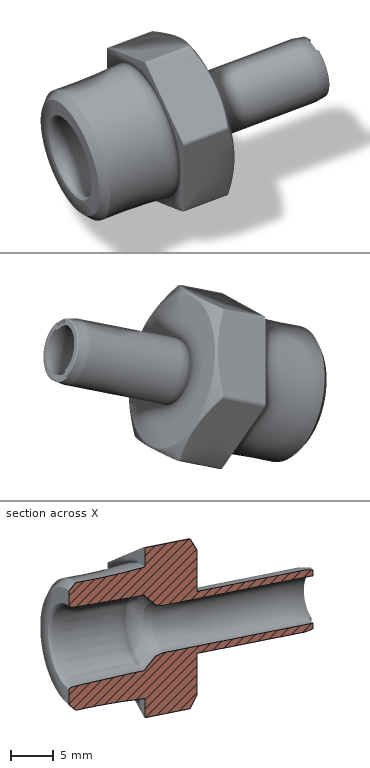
import cadquery as cq
import math

thread_length = 10.1
hex_length = 7.0
stem_length = 15.8
hex_start = thread_length
hex_end = hex_start + hex_length
total_length = hex_end + stem_length

across_flats = 19.0
corner_angle = 30.0
hex_corner_fillet = 0.5
hex_chamfer_angle = 30.0
hex_chamfer_face_radius = 9.25
hex_chamfer_blend = 0.2

thread_root_radius = 8.45
thread_mid_radius = 8.2
thread_end_radius = 8.2
thread_chamfer = 0.9

stem_radius = 4.0
stem_taper_length = 1.47
stem_tip_radius = 3.75
stem_tip_chamfer = 0.12
stem_shoulder_blend = 1.5
slot_width = 2.1
slot_depth = 0.35

bore_mouth_radius = 5.07
mouth_chamfer = 0.28
mouth_blend = 0.3
bore_depth = 10.0
bore_floor_radius = 4.8
throat_radius = 3.35
throat_lip_radius = 3.25
hole_radius = 3.0
hole_taper_length = 1.0


def revolve_about_y(profile):
    """Close a (radius, Y) profile and turn it about the Y axis."""
    return profile.close().revolve(360, (0, 0, 0), (0, 1, 0))


def circles_near(solid, y_position):
    """Select the circular edges that lie in the plane at the given Y."""
    tolerance = 0.001
    selector = cq.selectors.BoxSelector(
        (-across_flats, y_position - tolerance, -across_flats),
        (across_flats, y_position + tolerance, across_flats),
        boundingbox=True,
    )
    return solid.edges(selector)


def make_threaded_end():
    flank_middle = (thread_chamfer + hex_start) / 2
    return revolve_about_y(
        cq.Workplane("XY")
        .lineTo(thread_end_radius - thread_chamfer, 0)
        .lineTo(thread_end_radius, thread_chamfer)
        .threePointArc((thread_mid_radius, flank_middle), (thread_root_radius, hex_start))
        .lineTo(0, hex_start)
    )


def make_hexagon():
    corner_diameter = across_flats / math.cos(math.radians(corner_angle))
    prism = (
        cq.Workplane("XZ", origin=(0, hex_end, 0))
        .transformed(rotate=(0, 0, corner_angle))
        .polygon(6, corner_diameter)
        .extrude(hex_length)
        .edges("|Y")
        .fillet(hex_corner_fillet)
    )
    cone_radius = corner_diameter
    cone_drop = (cone_radius - hex_chamfer_face_radius) * math.tan(math.radians(hex_chamfer_angle))
    cone = revolve_about_y(
        cq.Workplane("XY")
        .moveTo(0, hex_start)
        .lineTo(cone_radius, hex_start)
        .lineTo(cone_radius, hex_end - cone_drop)
        .lineTo(hex_chamfer_face_radius, hex_end)
        .lineTo(0, hex_end)
    )
    hexagon = prism.intersect(cone)
    return hexagon.faces("%CONE").edges("not(>Y)").fillet(hex_chamfer_blend)


def make_stem():
    taper_start = total_length - stem_taper_length
    stem = revolve_about_y(
        cq.Workplane("XY")
        .moveTo(0, hex_end)
        .lineTo(stem_radius, hex_end)
        .lineTo(stem_radius, taper_start)
        .lineTo(stem_tip_radius, total_length)
        .lineTo(0, total_length)
    )
    stem = circles_near(stem, taper_start).fillet(stem_shoulder_blend)
    return stem.edges(">Y").chamfer(stem_tip_chamfer)


def make_bore():
    floor_end = bore_depth + bore_floor_radius - throat_radius
    lip_end = floor_end + throat_radius - throat_lip_radius
    bore = revolve_about_y(
        cq.Workplane("XY")
        .lineTo(bore_mouth_radius + mouth_chamfer, 0)
        .lineTo(bore_mouth_radius, mouth_chamfer)
        .lineTo(bore_floor_radius, bore_depth)
        .lineTo(throat_radius, floor_end)
        .lineTo(throat_lip_radius, lip_end)
        .lineTo(hole_radius, lip_end + hole_taper_length)
        .lineTo(hole_radius, total_length)
        .lineTo(0, total_length)
    )
    return circles_near(bore, mouth_chamfer).fillet(mouth_blend)


def make_tip_slot():
    slot_center = (0, total_length - slot_depth / 2, 0)
    return cq.Workplane("XY").box(slot_width, slot_depth, 2 * stem_radius).translate(slot_center)


body = make_threaded_end().union(make_hexagon()).union(make_stem())
result = body.cut(make_bore()).cut(make_tip_slot())